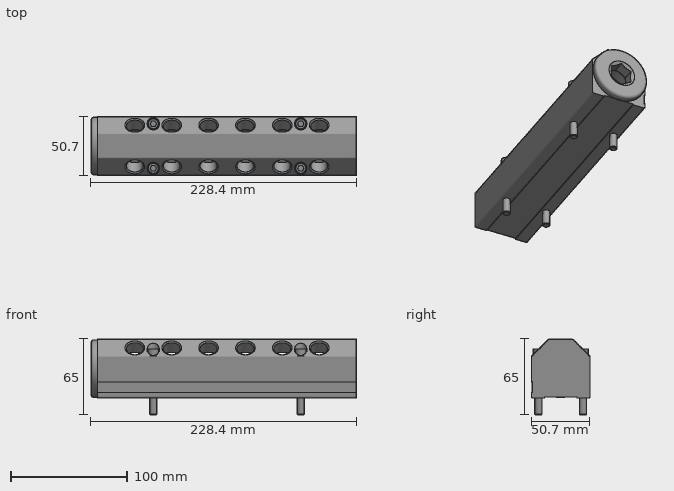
import cadquery as cq
import math

overall_length = 228.4
overall_height = 65.0
housing_width = 50.7
half_width = housing_width / 2
cap_thickness = 5.7
housing_length = overall_length - cap_thickness
housing_middle_x = cap_thickness + housing_length / 2

flat_half_width = 10.5
edge_radius = 1.4
base_relief_half_width = 14.0
base_relief_depth = 1.0
side_groove_top_z = -11.5
side_groove_bottom_z = -20.3
side_groove_depth = 0.7

bore_radius = 14.5
port_count = 6
port_pitch = 31.7
port_radius = 7.3
port_mouth_radius = 8.5
port_angle = 45.0
first_port_x = housing_middle_x - (port_count - 1) * port_pitch / 2
bore_end_wall = 4.5
bore_end_x = overall_length - bore_end_wall
facet_distance = (half_width + flat_half_width) / math.sqrt(2)

cap_radius = 25.0
cap_edge_radius = 2.5
plug_length = 25.1
plug_hex_flats = 18.7
plug_hex_depth = 11.5
plug_drill_radius = 9.8
plug_drill_depth = 21.7
plug_hex_mouth_radius = 12.3
plug_hex_mouth_slope = 30.0

screw_y = 19.2
screw_x_offset = housing_middle_x - first_port_x - port_pitch / 2
screw_places = [
    (housing_middle_x + x_side * screw_x_offset, y_side * screw_y)
    for x_side in (-1, 1)
    for y_side in (-1, 1)
]
screw_length_below_axis = overall_height - half_width
shaft_radius = 3.2
shaft_chamfer = 0.7
head_radius = 4.5
head_height = 6.5
head_edge_chamfer = 0.2
head_top_z = 17.1
head_seat_z = head_top_z - head_height
screw_hex_flats = 4.8
screw_hex_depth = 3.2
counterbore_radius = 5.3


def hex_corner_diameter(across_flats):
    return across_flats / math.cos(math.radians(30))


def housing_block():
    """Square bar with sloped upper faces, rounded long edges, a base relief and a side groove."""
    block = (
        cq.Workplane("YZ", origin=(cap_thickness, 0, 0))
        .polyline([
            (-half_width, -half_width),
            (half_width, -half_width),
            (half_width, flat_half_width),
            (flat_half_width, half_width),
            (-flat_half_width, half_width),
            (-half_width, flat_half_width),
        ])
        .close()
        .extrude(housing_length)
        .edges("|X")
        .fillet(edge_radius)
    )
    base_relief = cq.Workplane("XY").box(
        housing_length, 2 * base_relief_half_width, 2 * base_relief_depth
    ).translate((housing_middle_x, 0, -half_width))
    side_groove = cq.Workplane("XY").box(
        housing_length, 2 * side_groove_depth, side_groove_top_z - side_groove_bottom_z
    ).translate((housing_middle_x, -half_width, (side_groove_top_z + side_groove_bottom_z) / 2))
    return block.cut(base_relief).cut(side_groove)


def main_bore():
    return (
        cq.Workplane("YZ", origin=(cap_thickness, 0, 0))
        .circle(bore_radius)
        .extrude(bore_end_x - cap_thickness)
    )


def port(x, side):
    """Port from the bore axis out through a sloped face, with a 45-degree countersunk mouth."""
    mouth_depth = port_mouth_radius - port_radius
    upright = (
        cq.Workplane("XZ")
        .polyline([
            (0, 0),
            (port_radius, 0),
            (port_radius, facet_distance - mouth_depth),
            (port_mouth_radius, facet_distance),
            (0, facet_distance),
        ])
        .close()
        .revolve(360, (0, 0, 0), (0, 1, 0))
    )
    return upright.rotate((0, 0, 0), (1, 0, 0), -side * port_angle).translate((x, 0, 0))


def screw_hole(x, y):
    """Hole through the housing for the shaft, with a counterbore open to the sloped face."""
    shaft_hole = (
        cq.Workplane("XY", origin=(x, y, -half_width))
        .circle(shaft_radius)
        .extrude(housing_width)
    )
    counterbore = (
        cq.Workplane("XY", origin=(x, y, head_seat_z))
        .circle(counterbore_radius)
        .extrude(half_width - head_seat_z)
    )
    return shaft_hole.union(counterbore)


def make_housing():
    housing = housing_block().cut(main_bore())
    for index in range(port_count):
        for side in (-1, 1):
            housing = housing.cut(port(first_port_x + index * port_pitch, side))
    for x, y in screw_places:
        housing = housing.cut(screw_hole(x, y))
    return housing


def make_plug():
    """Round cap against the housing and a shank that fills the bore.

    A hex socket with a conical mouth leads into a round blind hole.
    """
    cap = (
        cq.Workplane("YZ")
        .circle(cap_radius)
        .extrude(cap_thickness)
        .faces("<X")
        .edges()
        .fillet(cap_edge_radius)
    )
    shank = cq.Workplane("YZ", origin=(cap_thickness, 0, 0)).circle(bore_radius).extrude(
        plug_length - cap_thickness
    )
    hex_socket = (
        cq.Workplane("YZ")
        .transformed(rotate=(0, 0, 90))
        .polygon(6, hex_corner_diameter(plug_hex_flats))
        .extrude(plug_hex_depth)
    )
    drilled_hole = (
        cq.Workplane("YZ", origin=(plug_hex_depth, 0, 0))
        .circle(plug_drill_radius)
        .extrude(plug_drill_depth - plug_hex_depth)
    )
    mouth_cone_height = plug_hex_mouth_radius * math.tan(math.radians(plug_hex_mouth_slope))
    hex_mouth = cq.Workplane(
        cq.Solid.makeCone(plug_hex_mouth_radius, 0, mouth_cone_height, dir=cq.Vector(1, 0, 0))
    )
    return cap.union(shank).cut(hex_socket).cut(drilled_hole).cut(hex_mouth)


def make_screw(x, y):
    """Socket head cap screw, pointing down."""
    shaft = (
        cq.Workplane("XY", origin=(x, y, -screw_length_below_axis))
        .circle(shaft_radius)
        .extrude(screw_length_below_axis + head_seat_z)
        .faces("<Z")
        .chamfer(shaft_chamfer)
    )
    head = (
        cq.Workplane("XY", origin=(x, y, head_seat_z))
        .circle(head_radius)
        .extrude(head_height)
        .faces(">Z")
        .chamfer(head_edge_chamfer)
    )
    socket = (
        cq.Workplane("XY", origin=(x, y, head_top_z - screw_hex_depth))
        .polygon(6, hex_corner_diameter(screw_hex_flats))
        .extrude(screw_hex_depth)
    )
    return shaft.union(head).cut(socket)


housing = make_housing()
plug = make_plug()
screws = [make_screw(x, y) for x, y in screw_places]

result = cq.Compound.makeCompound([housing.val(), plug.val(), *[screw.val() for screw in screws]])